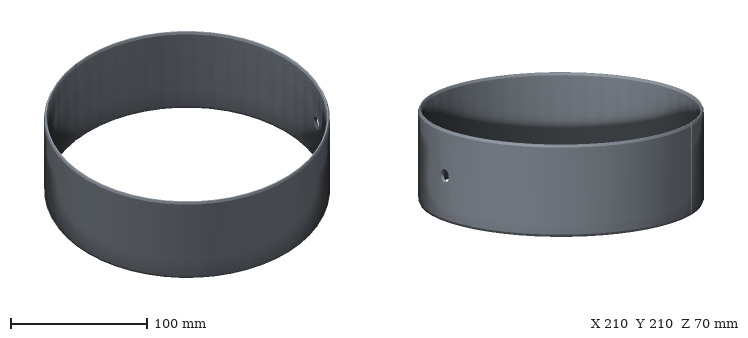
import cadquery as cq

outer_diameter = 210.0
height = 70.0
wall = 2.5
outer_radius = outer_diameter / 2
inner_radius = outer_radius - wall

bevel_height = 1.9
bevel_inset = 0.8

split_width = 1.7
split_offset = split_width / 2

hole_diameter = 10.0
hole_angle = 59.0

cut_margin = 2.0


def make_band():
    """Revolve the wall section, with all four corners bevelled."""
    top = height / 2
    bevel_start = top - bevel_height
    rim_outer = outer_radius - bevel_inset
    rim_inner = inner_radius + bevel_inset
    section = [
        (inner_radius, -bevel_start),
        (rim_inner, -top),
        (rim_outer, -top),
        (outer_radius, -bevel_start),
        (outer_radius, bevel_start),
        (rim_outer, top),
        (rim_inner, top),
        (inner_radius, bevel_start),
    ]
    return cq.Workplane("XZ").polyline(section).close().revolve(360, (0, 0), (0, 1))


def make_split():
    """Full-height slab that opens the band on the -X side only."""
    depth = wall + 2 * cut_margin
    middle_radius = (inner_radius + outer_radius) / 2
    slab = cq.Workplane("XY").box(depth, split_width, height + 2 * cut_margin)
    return slab.translate((-middle_radius, split_offset, 0))


def make_hole():
    """Radial drill through one side of the wall."""
    drill = (
        cq.Workplane("YZ", origin=(inner_radius - cut_margin, 0, 0))
        .circle(hole_diameter / 2)
        .extrude(wall + 2 * cut_margin)
    )
    return drill.rotate((0, 0, 0), (0, 0, 1), hole_angle)


result = make_band().cut(make_split()).cut(make_hole())